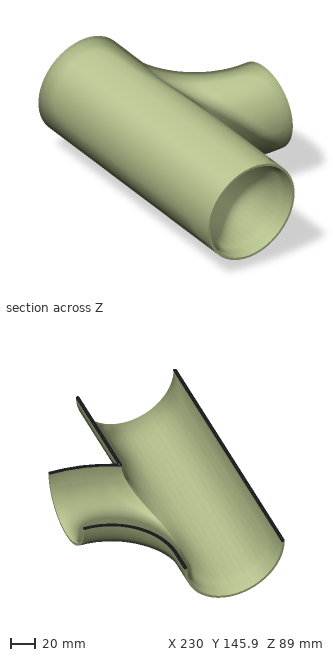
import cadquery as cq

run_length = 230.0
run_outer_diameter = 89.0
wall = 2.0
run_bore_diameter = run_outer_diameter - 2 * wall

branch_outer_diameter = 76.1
branch_bore_diameter = branch_outer_diameter - 2 * wall
bend_radius = 95.0
bend_angle = 90.0
bend_dip = 0.02
branch_end_y = run_outer_diameter / 2 - bend_dip + bend_radius - branch_outer_diameter / 2

seam_fillet = 1.0


def run_cylinder(diameter):
    """Full-length cylinder on the axis of the run pipe."""
    start = cq.Workplane("YZ", origin=(-run_length / 2, 0, 0))
    return start.circle(diameter / 2).extrude(run_length)


def bend(diameter):
    """Quarter torus starting at the open branch end and turning towards -X."""
    return (
        cq.Workplane("XZ", origin=(0, branch_end_y, 0))
        .circle(diameter / 2)
        .revolve(bend_angle, (-bend_radius, 0, 0), (-bend_radius, -1, 0))
    )


def joined_solid(run_diameter, branch_diameter):
    """Run cylinder and elbow as one solid, with the seam between them filleted."""
    joined = run_cylinder(run_diameter).union(bend(branch_diameter))
    return joined.edges("%BSPLINE").fillet(seam_fillet)


outside = joined_solid(run_outer_diameter, branch_outer_diameter)
inside = joined_solid(run_bore_diameter, branch_bore_diameter)
result = outside.cut(inside)